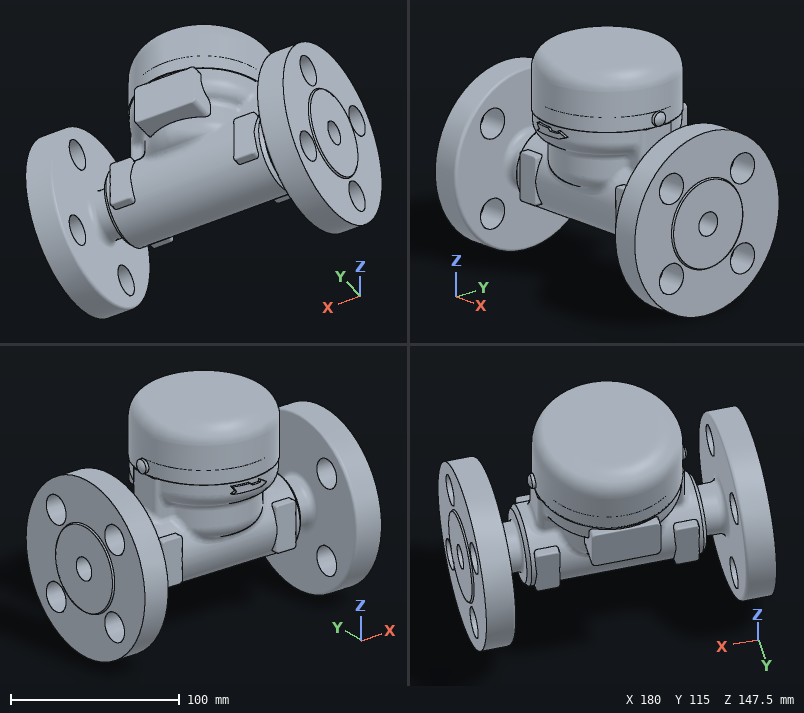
import cadquery as cq
import math

overall_length = 180.0
overall_height_above_axis = 90.0

flange_diameter = 115.0
flange_thickness = 18.5
flange_edge_fillet = 2.0
raised_face_diameter = 56.5
raised_face_height = 1.0
raised_face_chamfer = 0.7
bolt_hole_diameter = 19.0
bolt_circle_diameter = 80.0
bolt_hole_count = 4
first_bolt_hole_angle = 45
hub_diameter = 31.0
hub_flange_fillet = 4.7
hub_barrel_fillet = 2.0
bore_diameter = 15.0
bore_depth = 34.2

barrel_length = 110.2
barrel_diameter = 50.0
barrel_edge_chamfer = 2.3
wrench_pad_width = 15.0
wrench_pad_height = 31.3
wrench_pad_centre_x = 42.7
wrench_pad_corner_radius = 2.0
wrench_pad_face_y = 25.2
wrench_pad_edge_fillet = 1.0

bowl_rim_diameter = 88.5
bowl_rim_bottom_z = 42.7
bowl_shoulder_radius = 10.0
neck_diameter = 70.0
neck_shoulder_fillet = 5.0
neck_bottom_z = 17.8
neck_bottom_fillet = 10.0
casting_fillet = 5.0
spigot_top_z = 59.0

ear_width = 25.2
ear_corner_radius = 4.0

cover_diameter = 90.0
cover_bottom_z = 49.7
cover_top_fillet = 15.0

name_pad_width = 42.3
name_pad_top_z = 47.7
name_pad_height = 27.2
name_pad_corner_radius = 3.0
name_pad_face_y = 45.7
name_pad_edge_fillet = 0.9

arrow_surface_radius = 46.0
arrow_length = 25.5
arrow_top_z = 47.5
arrow_tip_z = 44.3
arrow_shaft_top_z = 45.9
arrow_step_x = 0.9
arrow_head_x = 7.2
arrow_notch_depth = 2.5

rivet_diameter = 9.0
rivet_shoulder_x = 47.0
rivet_tip_x = 49.0
rivet_z = 54.7

half_length = overall_length / 2
flange_outer_x = half_length - raised_face_height
flange_inner_x = flange_outer_x - flange_thickness
barrel_end_x = barrel_length / 2
barrel_radius = barrel_diameter / 2
flange_radius = flange_diameter / 2
hub_radius = hub_diameter / 2
cover_radius = cover_diameter / 2
bowl_rim_radius = bowl_rim_diameter / 2
neck_radius = neck_diameter / 2
rivet_radius = rivet_diameter / 2
shoulder_depth = bowl_rim_radius - neck_radius
shoulder_sweep = math.acos(1 - shoulder_depth / (bowl_shoulder_radius + neck_shoulder_fillet))
shoulder_end_radius = bowl_rim_radius - bowl_shoulder_radius * (1 - math.cos(shoulder_sweep))
shoulder_end_z = bowl_rim_bottom_z - bowl_shoulder_radius * math.sin(shoulder_sweep)
neck_top_z = shoulder_end_z - neck_shoulder_fillet * math.sin(shoulder_sweep)
bowl_bottom_z = neck_bottom_z - neck_bottom_fillet


def cylinder_z(radius, bottom_z, top_z):
    return cq.Workplane("XY").workplane(offset=bottom_z).circle(radius).extrude(top_z - bottom_z)


def barrel():
    return (
        cq.Workplane("YZ", origin=(-barrel_end_x, 0, 0))
        .circle(barrel_radius)
        .extrude(barrel_length)
        .faces("<X or >X")
        .edges()
        .chamfer(barrel_edge_chamfer)
    )


def pipe_end():
    """Hub, flange and raised face turned about the X axis at the +X end, with bolt holes and bore."""
    turned = (
        cq.Workplane("XY")
        .moveTo(barrel_end_x, 0)
        .lineTo(barrel_end_x, hub_radius + hub_barrel_fillet)
        .radiusArc((barrel_end_x + hub_barrel_fillet, hub_radius), -hub_barrel_fillet)
        .lineTo(flange_inner_x - hub_flange_fillet, hub_radius)
        .radiusArc((flange_inner_x, hub_radius + hub_flange_fillet), -hub_flange_fillet)
        .lineTo(flange_inner_x, flange_radius - flange_edge_fillet)
        .radiusArc((flange_inner_x + flange_edge_fillet, flange_radius), flange_edge_fillet)
        .lineTo(flange_outer_x, flange_radius)
        .lineTo(flange_outer_x, raised_face_diameter / 2)
        .lineTo(half_length, raised_face_diameter / 2 - raised_face_chamfer)
        .lineTo(half_length, 0)
        .close()
        .revolve(360, (0, 0, 0), (1, 0, 0))
    )
    bolt_holes = (
        cq.Workplane("YZ", origin=(flange_inner_x, 0, 0))
        .polarArray(bolt_circle_diameter / 2, first_bolt_hole_angle, 360, bolt_hole_count)
        .circle(bolt_hole_diameter / 2)
        .extrude(flange_thickness)
    )
    bore_bottom = cq.Workplane("YZ", origin=(half_length - bore_depth, 0, 0))
    bore = bore_bottom.circle(bore_diameter / 2).extrude(bore_depth)
    return turned.cut(bolt_holes).cut(bore)


def bowl():
    """Rim, shoulder, neck and rounded bottom turned about the Z axis."""
    return (
        cq.Workplane("XZ")
        .moveTo(0, spigot_top_z)
        .lineTo(bowl_rim_radius, spigot_top_z)
        .lineTo(bowl_rim_radius, bowl_rim_bottom_z)
        .radiusArc((shoulder_end_radius, shoulder_end_z), bowl_shoulder_radius)
        .radiusArc((neck_radius, neck_top_z), -neck_shoulder_fillet)
        .lineTo(neck_radius, neck_bottom_z)
        .radiusArc((neck_radius - neck_bottom_fillet, bowl_bottom_z), neck_bottom_fillet)
        .lineTo(0, bowl_bottom_z)
        .close()
        .revolve(360, (0, 0, 0), (0, 1, 0))
    )


def ears():
    """Bar across the bowl, as long as the cover is wide, with rounded corners."""
    bar = cq.Workplane("XY").box(cover_diameter, ear_width, cover_bottom_z, centered=(True, True, False))
    return bar.edges("|Z").fillet(ear_corner_radius)


def wrench_pads():
    pads = (
        cq.Workplane("XZ")
        .pushPoints([(-wrench_pad_centre_x, 0), (wrench_pad_centre_x, 0)])
        .rect(wrench_pad_width, wrench_pad_height)
        .extrude(wrench_pad_face_y, both=True)
    )
    pads = pads.edges("|Y").fillet(wrench_pad_corner_radius)
    return pads.faces("<Y or >Y").edges().fillet(wrench_pad_edge_fillet)


def name_plate_pad():
    """Rounded rectangular pad from the bowl axis out to +Y."""
    pad = (
        cq.Workplane("XY", origin=(0, 0, name_pad_top_z - name_pad_height))
        .box(name_pad_width, name_pad_face_y, name_pad_height, centered=(True, False, False))
        .edges("|Y")
        .fillet(name_pad_corner_radius)
    )
    return pad.faces(">Y").edges().fillet(name_pad_edge_fillet)


def flow_arrow():
    """Raised arrow pointing to +X, following the round rim."""
    half = arrow_length / 2
    outline = (
        cq.Workplane("XZ")
        .polyline(
            [
                (-half, arrow_top_z),
                (-arrow_step_x, arrow_top_z),
                (arrow_step_x, arrow_shaft_top_z),
                (arrow_head_x, arrow_shaft_top_z),
                (arrow_head_x, arrow_top_z),
                (half, arrow_tip_z),
                (arrow_head_x + arrow_step_x, bowl_rim_bottom_z),
                (-half, bowl_rim_bottom_z),
                (-half + arrow_notch_depth, arrow_tip_z),
            ]
        )
        .close()
        .extrude(arrow_surface_radius)
    )
    return outline.intersect(cylinder_z(arrow_surface_radius, bowl_rim_bottom_z, arrow_top_z))


def trap_body():
    """Barrel, both flanged ends, bowl, ears, pads and arrow as one casting."""
    casting = barrel().union(bowl()).union(ears())
    junction_reach_x = cover_radius + casting_fillet
    junctions = cq.selectors.BoxSelector(
        (-junction_reach_x, -neck_radius, 0), (junction_reach_x, neck_radius, neck_top_z)
    )
    casting = casting.edges(junctions).fillet(casting_fillet)
    pipe_end_right = pipe_end()
    pipe_end_left = pipe_end_right.mirror("YZ")
    for part in (pipe_end_right, pipe_end_left, wrench_pads(), name_plate_pad(), flow_arrow()):
        casting = casting.union(part)
    return casting


def cover():
    dome = cylinder_z(cover_radius, cover_bottom_z, overall_height_above_axis)
    dome = dome.faces(">Z").edges().fillet(cover_top_fillet)
    return dome.cut(cylinder_z(bowl_rim_radius, cover_bottom_z, spigot_top_z))


def rivet(side):
    """Round-headed rivet seated on the cover skirt; side is +1 or -1 along X."""
    dome_height = rivet_tip_x - rivet_shoulder_x
    dome_radius = (rivet_radius**2 + dome_height**2) / (2 * dome_height)
    dome_half_angle = math.asin(rivet_radius / dome_radius) / 2
    dome_mid_x = rivet_tip_x - dome_radius * (1 - math.cos(dome_half_angle))
    dome_mid_y = dome_radius * math.sin(dome_half_angle)
    head = (
        cq.Workplane("XY")
        .lineTo(0, rivet_radius)
        .lineTo(side * rivet_shoulder_x, rivet_radius)
        .threePointArc((side * dome_mid_x, dome_mid_y), (side * rivet_tip_x, 0))
        .close()
        .revolve(360, (0, 0, 0), (1, 0, 0))
        .translate((0, 0, rivet_z))
    )
    return head.cut(cylinder_z(cover_radius, cover_bottom_z, overall_height_above_axis))


body = trap_body()
trap_cover = cover()
rivets = [rivet(side) for side in (-1, 1)]

result = cq.Compound.makeCompound([body.val(), trap_cover.val(), *[pin.val() for pin in rivets]])